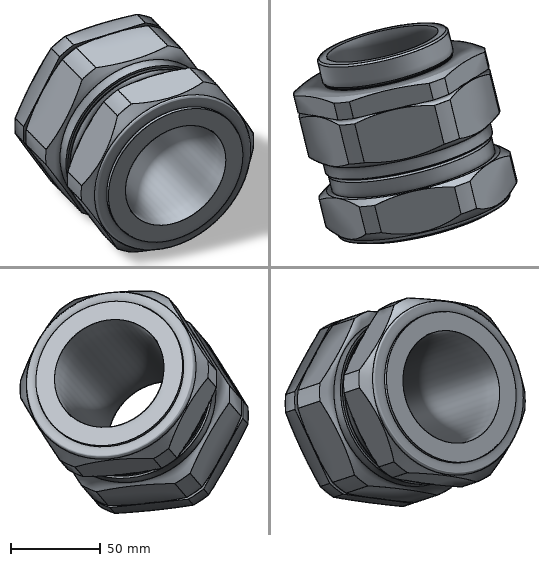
import cadquery as cq
import math

across_flats = 99.9
across_corners = 110.0
corner_radius = across_corners / 2

nut_start = 15.0
nut_end = 26.6
body_end = 56.4
collar_start = 56.8
collar_end = 63.8
groove_floor_start = 64.4
groove_floor_end = 64.9
band_start = 66.0
cap_start = 74.9
cap_cone_end = 99.4
cap_end = 101.5
total_length = 103.5

bore_radius = 32.0
spigot_radius = 37.6
collar_radius = 48.2
groove_shoulder_radius = 46.8
groove_radius = 45.7
band_radius = 47.0
cap_rim_radius = 49.5
end_ring_radius = 42.9

spigot_chamfer = 1.1
spigot_back = 14.3
neck_radius = spigot_radius - spigot_chamfer
neck_end = 14.6
neck_flare = nut_start - neck_end

nut_front_radius = 49.3
nut_front_depth = 1.8
body_front_radius = 49.7
body_front_depth = 3.1
body_back_radius = 48.8
body_back_depth = 3.7
cap_front_radius = 49.9
cap_front_depth = 3.0
cap_back_depth = corner_radius - cap_rim_radius

cap_rim_fillet = 1.3


def revolve_about_x(points):
    """Solid of revolution about X; points are (x, radius) from the first end face to the last."""
    first_x = points[0][0]
    last_x = points[-1][0]
    outline = [(first_x, 0), *points, (last_x, 0)]
    return cq.Workplane("XY").polyline(outline).close().revolve(360, (0, 0, 0), (1, 0, 0))


def cylinder(start, end, radius):
    """Cylinder on the X axis between two stations."""
    return revolve_about_x([(start, radius), (end, radius)])


def hexagon(turned_profile):
    """Hexagonal section with corners on +Y and -Y, trimmed by the turned (x, radius) profile."""
    start = turned_profile[0][0]
    end = turned_profile[-1][0]
    sharp_diameter = across_flats / math.cos(math.pi / 6)
    prism = cq.Workplane("YZ").workplane(offset=start).polygon(6, sharp_diameter).extrude(end - start)
    return prism.intersect(revolve_about_x(turned_profile))


spigot = revolve_about_x([
    (0, spigot_radius - spigot_chamfer),
    (spigot_chamfer, spigot_radius),
    (spigot_back - spigot_chamfer, spigot_radius),
    (spigot_back, neck_radius),
    (neck_end, neck_radius),
    (nut_start, neck_radius + neck_flare),
])

nut = hexagon([
    (nut_start, nut_front_radius),
    (nut_start + nut_front_depth, corner_radius),
    (nut_end, corner_radius),
])

body = hexagon([
    (nut_end, body_front_radius),
    (nut_end + body_front_depth, corner_radius),
    (body_end - body_back_depth, corner_radius),
    (body_end, body_back_radius),
])

collar_and_band = revolve_about_x([
    (body_end, body_back_radius),
    (collar_start, collar_radius),
    (collar_end, collar_radius),
    (collar_end, groove_shoulder_radius),
    (groove_floor_start, groove_radius),
    (groove_floor_end, groove_radius),
    (band_start, band_radius),
    (cap_start, band_radius),
])

cap = hexagon([
    (cap_start, cap_front_radius),
    (cap_start + cap_front_depth, corner_radius),
    (cap_cone_end - cap_back_depth, corner_radius),
    (cap_cone_end, cap_rim_radius),
])

cap_rim = cylinder(cap_cone_end, cap_end, cap_rim_radius).faces(">X").edges().fillet(cap_rim_fillet)
end_ring = cylinder(cap_end, total_length, end_ring_radius)
bore = cylinder(0, total_length, bore_radius)

result = spigot
for section in (nut, body, collar_and_band, cap, cap_rim, end_ring):
    result = result.union(section)
result = result.cut(bore)